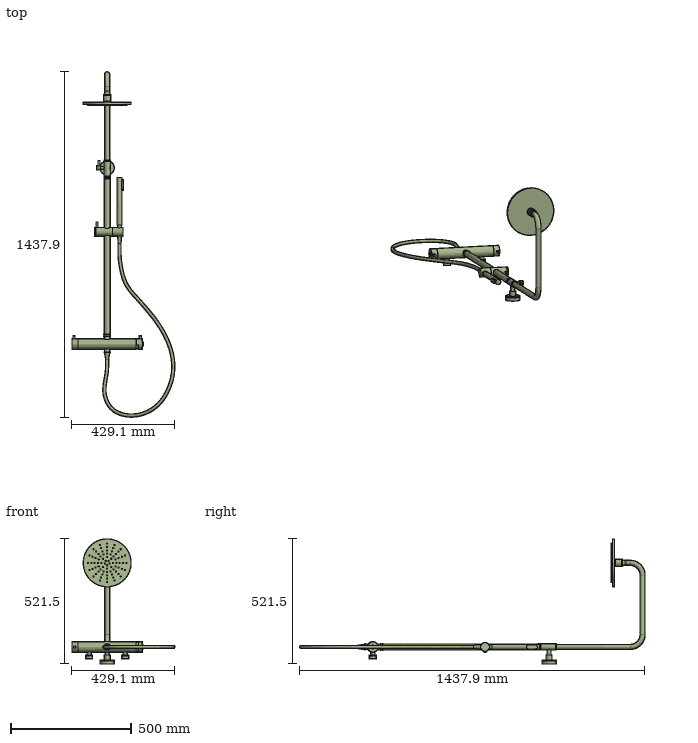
import cadquery as cq
import math


groove_depth = 0.8
groove_width = 1.0
groove_inset = 3.0

bar_radius = 22.5
bar_half_length = 147.0
cap_length = 26.0
cap_notch_width = 9.0
cap_notch_depth = 3.0
cap_notch_y = -4.0
end_button_radius = 8.0
end_button_height = 5.0
cap_lever_radius = 5.0
cap_lever_inset = 9.0
cap_lever_height = 13.0
safety_button_x = -135.0
safety_button_radius = 5.0
safety_button_height = 0.8
inlet_spacing = 150.0
inlet_neck_radius = 9.5
inlet_nut_radius = 15.0
inlet_nut_top = -33.0
inlet_nut_bottom = -50.0
collar_radius = 13.0
collar_top = 42.0
collar_ring_radius = 14.5
collar_ring_width = 1.5
collar_ring_spacing = 8.5
outlet_radius = 11.5
outlet_end = -33.5

riser_radius = 13.0
arm_radius = 11.0
arm_height = 350.0
arm_outer_y = 1133.4
arm_back_y = arm_outer_y - arm_radius
arm_bend_radius = 51.0
arm_end_y = 1053.5
bracket_radius = 13.5
bracket_start = 688.0
bracket_end = 765.0
bracket_groove_positions = (690.0, 694.0, 698.0, 760.0)
wall_stem_y = 733.4
wall_stem_radius = 9.0
wall_sleeve_radius = 13.0
wall_sleeve_top = -34.0
wall_flange_radius = 30.0
wall_flange_thickness = 18.0
wall_z = -71.46
diverter_stem_radius = 6.0
diverter_inner_x = -28.0
diverter_outer_x = -43.5
diverter_radius = 9.0
diverter_lever_radius = 4.5
diverter_lever_x = -34.0
diverter_lever_reach = 31.0

head_radius = 100.0
plate_back_y = 1006.5
plate_thickness = 10.0
head_collar_radius = 15.5
head_collar_back_y = 1038.0
knuckle_radius = 13.0
knuckle_back_y = 1047.0
nozzle_radius = 2.2
nozzle_height = 4.5
nozzle_outer_ring = 80.0
nozzle_ring_step = 14.0
nozzle_spokes = 16
full_spoke_rings = 5
short_spoke_rings = 4
inner_nozzles = 5
inner_nozzle_ring = 10.0

slider_y = 467.0
slider_radius = 19.0
slider_left_x = -52.5
slider_right_x = 66.0
slider_cap_thickness = 5.0
holder_x = 22.0
slider_lever_x = -42.0
slider_lever_radius = 4.5
slider_lever_reach = 41.5
grub_screw_radius = 4.0
grub_screw_reach = 23.0

handset_x = 51.5
handset_radius = 11.0
handset_end_y = 694.0
handset_shoulder_y = 495.0
handset_tail_y = 418.0
neck_radius = 9.0
tail_radius = 7.0
spray_length = 46.0
spray_width = 16.0
spray_top_y = 685.0
spray_height = 4.5

hose_radius = 7.0
hose_points = [
    (-1.0, -110.0),
    (-11.0, -203.0),
    (20.0, -269.0),
    (97.0, -297.5),
    (204.0, -259.0),
    (258.0, -180.0),
    (275.13, -96.0),
    (231.5, 53.0),
    (183.5, 122.5),
    (123.0, 192.0),
    (73.5, 261.0),
    (54.0, 340.0),
]
ferrule_radius = 13.5
ferrule_rim_length = 1.5
ferrule_end_y = -63.5


def rod(start, direction, radius, length):
    """Round rod from a start point along a direction."""
    return cq.Workplane(cq.Solid.makeCylinder(radius, length, cq.Vector(*start), cq.Vector(*direction)))


def cone(start, direction, start_radius, end_radius, length):
    """Tapered rod from a start point along a direction."""
    return cq.Workplane(
        cq.Solid.makeCone(start_radius, end_radius, length, cq.Vector(*start), cq.Vector(*direction))
    )


def ring_cut(start, direction, radius, depth=groove_depth, width=groove_width):
    """Ring that cuts a groove of the given depth round a rod."""
    return rod(start, direction, radius + depth, width).cut(rod(start, direction, radius - depth, width))


def make_inlet(x):
    neck = rod((x, 0, 0), (0, 0, -1), inlet_neck_radius, -inlet_nut_top)
    nut = rod((x, 0, inlet_nut_top), (0, 0, -1), inlet_nut_radius, inlet_nut_top - inlet_nut_bottom)
    groove = ring_cut((x, 0, inlet_nut_top - groove_inset), (0, 0, -1), inlet_nut_radius)
    return neck.union(nut.cut(groove))


def make_cap_notch(x):
    """Recess across the front of one cap, beside its joint with the bar."""
    size = 4 * bar_radius
    front = cq.Workplane("XY").box(size, size, size).translate((x, cap_notch_y - size / 2, 0))
    return ring_cut((x, 0, 0), (1, 0, 0), bar_radius, cap_notch_depth, cap_notch_width).intersect(front)


def make_mixer():
    mixer = rod((-bar_half_length, 0, 0), (1, 0, 0), bar_radius, 2 * bar_half_length)
    cap_joint = bar_half_length - cap_length
    for x in (-cap_joint - groove_width, cap_joint):
        mixer = mixer.cut(ring_cut((x, 0, 0), (1, 0, 0), bar_radius))
    mixer = mixer.cut(make_cap_notch(cap_joint))
    mixer = mixer.union(rod((bar_half_length, 0, 0), (1, 0, 0), end_button_radius, end_button_height))
    safety_button_reach = bar_radius + safety_button_height
    mixer = mixer.union(rod((safety_button_x, 0, 0), (0, -1, 0), safety_button_radius, safety_button_reach))

    lever_x = bar_half_length - cap_lever_inset
    for side in (-1, 1):
        lever = rod((side * lever_x, 0, 0), (0, 1, 0), cap_lever_radius, bar_radius + cap_lever_height)
        mixer = mixer.union(lever).union(make_inlet(side * inlet_spacing / 2))

    mixer = mixer.union(rod((0, 0, 0), (0, 1, 0), collar_radius, collar_top))
    top_ring_y = collar_top - collar_ring_width
    for y in (top_ring_y, top_ring_y - collar_ring_spacing):
        mixer = mixer.union(rod((0, y, 0), (0, 1, 0), collar_ring_radius, collar_ring_width))
    return mixer.union(rod((0, 0, 0), (0, -1, 0), outlet_radius, -outlet_end))


def make_arm():
    """Bent tube that rises from the bracket and turns back toward the head."""
    upper_bend_z = arm_height - arm_bend_radius
    bend_y = arm_back_y - arm_bend_radius
    diagonal = arm_bend_radius * math.sqrt(0.5)
    path = (
        cq.Workplane("YZ")
        .moveTo(bracket_start, 0)
        .lineTo(bend_y, 0)
        .threePointArc((bend_y + diagonal, arm_bend_radius - diagonal), (arm_back_y, arm_bend_radius))
        .lineTo(arm_back_y, upper_bend_z)
        .threePointArc((bend_y + diagonal, upper_bend_z + diagonal), (bend_y, arm_height))
        .lineTo(arm_end_y, arm_height)
    )
    start = cq.Workplane("XZ", origin=(0, bracket_start, 0))
    return start.circle(arm_radius).sweep(path)


def make_bracket():
    bracket = rod((0, bracket_start, 0), (0, 1, 0), bracket_radius, bracket_end - bracket_start)
    for y in bracket_groove_positions:
        bracket = bracket.cut(ring_cut((0, y, 0), (0, 1, 0), bracket_radius))

    flange_top = wall_z + wall_flange_thickness
    stem = rod((0, wall_stem_y, 0), (0, 0, -1), wall_stem_radius, -wall_sleeve_top)
    sleeve_length = wall_sleeve_top - flange_top
    sleeve = rod((0, wall_stem_y, wall_sleeve_top), (0, 0, -1), wall_sleeve_radius, sleeve_length)
    flange = rod((0, wall_stem_y, wall_z), (0, 0, 1), wall_flange_radius, wall_flange_thickness)
    flange = flange.cut(ring_cut((0, wall_stem_y, flange_top - groove_inset), (0, 0, -1), wall_flange_radius))

    knob_stem = rod((0, wall_stem_y, 0), (-1, 0, 0), diverter_stem_radius, -diverter_inner_x)
    knob_length = diverter_inner_x - diverter_outer_x
    knob = rod((diverter_inner_x, wall_stem_y, 0), (-1, 0, 0), diverter_radius, knob_length)
    lever = rod((diverter_lever_x, wall_stem_y, 0), (0, 1, 0), diverter_lever_radius, diverter_lever_reach)

    for piece in (stem, sleeve, flange, knob_stem, knob, lever):
        bracket = bracket.union(piece)
    return bracket


def make_column():
    riser = rod((0, collar_top, 0), (0, 1, 0), riser_radius, bracket_start - collar_top)
    return riser.union(make_bracket()).union(make_arm())


def nozzle_points():
    """Nozzle centres: spokes of nozzles with a small ring in the middle."""
    points = []
    for spoke in range(nozzle_spokes):
        angle = 2 * math.pi * spoke / nozzle_spokes
        rings = short_spoke_rings if spoke % 2 else full_spoke_rings
        for ring in range(rings):
            radius = nozzle_outer_ring - ring * nozzle_ring_step
            points.append((radius * math.cos(angle), radius * math.sin(angle)))
    for nozzle in range(inner_nozzles):
        angle = -math.pi / 2 + 2 * math.pi * nozzle / inner_nozzles
        points.append((inner_nozzle_ring * math.cos(angle), inner_nozzle_ring * math.sin(angle)))
    return points


def make_head():
    face_y = plate_back_y - plate_thickness
    plate = rod((0, plate_back_y, arm_height), (0, -1, 0), head_radius, plate_thickness)
    collar_length = head_collar_back_y - plate_back_y
    collar = rod((0, plate_back_y, arm_height), (0, 1, 0), head_collar_radius, collar_length)
    for y in (plate_back_y + groove_inset, head_collar_back_y - groove_inset):
        collar = collar.cut(ring_cut((0, y, arm_height), (0, 1, 0), head_collar_radius))
    knuckle_length = knuckle_back_y - head_collar_back_y
    knuckle = cone((0, head_collar_back_y, arm_height), (0, 1, 0), knuckle_radius, arm_radius, knuckle_length)
    spigot = rod((0, knuckle_back_y, arm_height), (0, 1, 0), arm_radius, arm_end_y - knuckle_back_y)
    nozzles = (
        cq.Workplane("XZ", origin=(0, face_y, arm_height))
        .pushPoints(nozzle_points())
        .circle(nozzle_radius)
        .extrude(nozzle_height)
    )
    return plate.union(collar).union(knuckle).union(spigot).union(nozzles)


def make_handset_neck():
    length = handset_shoulder_y - handset_tail_y
    return cone((handset_x, handset_shoulder_y, 0), (0, -1, 0), neck_radius, tail_radius, length)


def make_handset():
    handle_length = handset_end_y - handset_shoulder_y
    handle = rod((handset_x, handset_shoulder_y, 0), (0, 1, 0), handset_radius, handle_length)
    spray = (
        cq.Workplane("YZ", origin=(handset_x, spray_top_y - spray_length / 2, 0))
        .slot2D(spray_length, spray_width)
        .extrude(handset_radius + spray_height)
    )
    return handle.union(make_handset_neck()).union(spray)


def make_slider():
    slider = rod((slider_left_x, slider_y, 0), (1, 0, 0), slider_radius, slider_right_x - slider_left_x)
    for x in (slider_left_x + slider_cap_thickness, holder_x):
        slider = slider.cut(ring_cut((x, slider_y, 0), (1, 0, 0), slider_radius))
    lever = rod((slider_lever_x, slider_y, 0), (0, 1, 0), slider_lever_radius, slider_lever_reach)
    grub_screw = rod((0, slider_y, 0), (0, 0, -1), grub_screw_radius, grub_screw_reach)
    riser_hole = rod((0, slider_y - slider_radius, 0), (0, 1, 0), riser_radius, 2 * slider_radius)
    return slider.union(lever).union(grub_screw).cut(riser_hole).cut(make_handset_neck())


def make_hose():
    """Hose that loops below the mixer from its outlet up to the hand shower."""
    path = cq.Workplane("XY").spline(
        [(0, ferrule_end_y), *hose_points, (handset_x, handset_tail_y)],
        tangents=[(0, -1), (0, 1)],
    )
    tube = cq.Workplane("XZ", origin=(0, ferrule_end_y, 0)).circle(hose_radius).sweep(path)
    rim = rod((0, outlet_end, 0), (0, -1, 0), ferrule_radius, ferrule_rim_length)
    taper_start = outlet_end - ferrule_rim_length
    taper = cone((0, taper_start, 0), (0, -1, 0), outlet_radius, hose_radius, taper_start - ferrule_end_y)
    return tube.union(rim).union(taper)


mixer = make_mixer().solids()
column = make_column().solids()
head = make_head().solids()
slider = make_slider().solids()
handset = make_handset().solids()
hose = make_hose().solids()

result = cq.Compound.makeCompound(
    [mixer.val(), column.val(), head.val(), slider.val(), handset.val(), hose.val()]
)